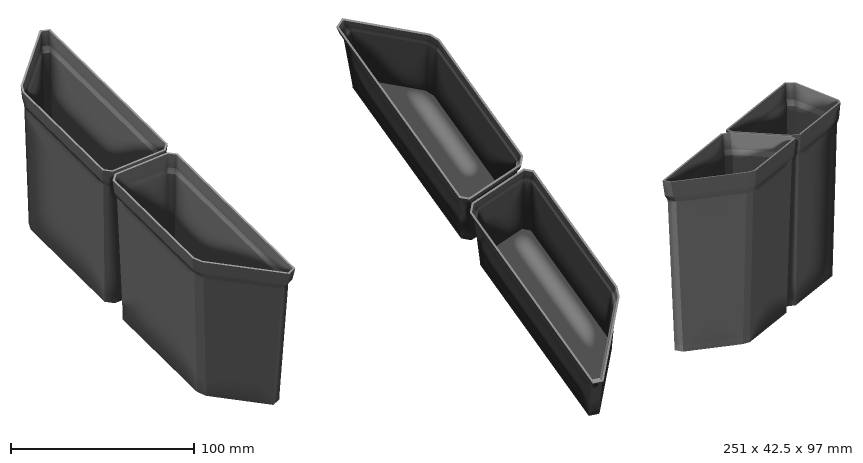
import cadquery as cq
import math

TOTAL_LENGTH = 251.0
DEPTH = 42.5
HEIGHT = 97.0
GAP = 2.13

TIP_ANGLE = 45
BEND_ANGLE = 180 - TIP_ANGLE
SQUARE_ANGLE = 90

TIP_SETBACK = 7.8
BEND_SETBACK = 3.3
SQUARE_SETBACK = 4.0

RIM_HEIGHT = 8.8
LEDGE_HEIGHT = 3.0
BASE_HEIGHT = 3.5

RIM_INSET = 0.8
BODY_INSET = 1.8
BASE_INSET = 4.0

WALL = 1.13

RIM_Z = HEIGHT - RIM_HEIGHT
LEDGE_Z = RIM_Z - LEDGE_HEIGHT

OUTER_LEVELS = [
    (0.0, BASE_INSET),
    (BASE_HEIGHT, BASE_INSET),
    (LEDGE_Z, BODY_INSET),
    (RIM_Z, RIM_INSET),
    (HEIGHT, 0.0),
]


def move_towards(start, end, distance):
    """Point at a given distance from start on the line to end."""
    share = distance / math.dist(start, end)
    return tuple(a + share * (b - a) for a, b in zip(start, end))


def cut_setback(setback, angle, thickness):
    """Setback of a corner cut that stays parallel to an outer cut, one thickness inside it."""
    half = math.radians(angle / 2)
    return setback - thickness * (1 / math.sin(half) - 1) / math.cos(half)


def section(z, inset, thickness):
    """Cut-cornered trapezoid at height z, one thickness inside the outer wall with that inset."""
    offset = inset + thickness
    back = DEPTH / 2 - offset
    front = -back
    right = -GAP / 2 - offset
    rim_tip = -TOTAL_LENGTH / 2 - TIP_SETBACK * math.cos(math.radians(TIP_ANGLE))
    tip = rim_tip + offset / math.tan(math.radians(TIP_ANGLE / 2))
    bend = tip + (back - front) / math.tan(math.radians(TIP_ANGLE))

    corners = [
        ((tip, back), TIP_SETBACK, TIP_ANGLE),
        ((bend, front), BEND_SETBACK, BEND_ANGLE),
        ((right, front), SQUARE_SETBACK, SQUARE_ANGLE),
        ((right, back), SQUARE_SETBACK, SQUARE_ANGLE),
    ]
    points = []
    for i, (corner, outer_setback, angle) in enumerate(corners):
        before = corners[i - 1][0]
        after = corners[(i + 1) % len(corners)][0]
        setback = cut_setback(outer_setback, angle, thickness)
        points.append(move_towards(corner, before, setback))
        points.append(move_towards(corner, after, setback))
    return cq.Wire.makePolygon([cq.Vector(x, y, z) for x, y in points], close=True)


def ruled_solid(levels, thickness):
    """Flat-sided solid through the (height, inset) levels, one thickness inside the outer wall."""
    wires = [section(z, inset, thickness) for z, inset in levels]
    return cq.Workplane(cq.Solid.makeLoft(wires, True))


def make_bin():
    """Left bin: tapered outer shape less a cavity that starts at the top of the base."""
    outer = ruled_solid(OUTER_LEVELS, 0)
    cavity = ruled_solid(OUTER_LEVELS[1:], WALL)
    return outer.cut(cavity)


left_bin = make_bin()
right_bin = left_bin.mirror("YZ")

result = cq.Compound.makeCompound([left_bin.val(), right_bin.val()])